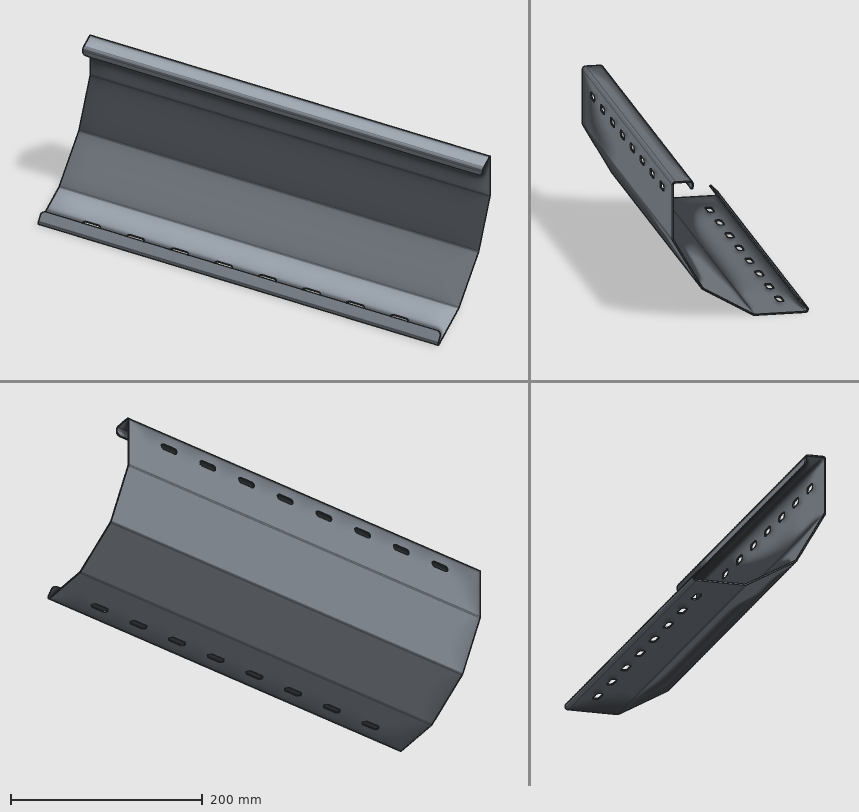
import cadquery as cq
import math

LENGTH = 450.0
HEIGHT = 150.0
THICKNESS = 1.5
BEND_RADIUS = 3.5

WALL_TURN = math.radians(30)
END_PANEL = 63.0
SLOPED_PANEL = (HEIGHT - END_PANEL) / (math.cos(WALL_TURN) + math.sin(WALL_TURN))
MIDDLE_BEND_OFFSET = SLOPED_PANEL * math.sin(WALL_TURN)

TOP_FLANGE = 22.5
TOP_LIP = 10.0
FRONT_LIP = 20.0
FRONT_LIP_ANGLE = math.radians(45)
LIP_CORNER_RADIUS = 5.0

SLOT_COUNT = 8
SLOT_PITCH = 49.5
SLOT_LENGTH = 20.0
SLOT_WIDTH = 7.0
BACK_SLOT_DROP = 19.0
FRONT_SLOT_INSET = 25.0
CUT_DEPTH = 5.0

TOP_LIP_END = (-TOP_FLANGE, HEIGHT - TOP_LIP)
FRONT_CORNER = (-HEIGHT, 0.0)
FRONT_LIP_END = (
    FRONT_CORNER[0] + FRONT_LIP * math.cos(FRONT_LIP_ANGLE),
    FRONT_LIP * math.sin(FRONT_LIP_ANGLE),
)
OUTER_CORNERS = [
    TOP_LIP_END,
    (-TOP_FLANGE, HEIGHT),
    (0.0, HEIGHT),
    (0.0, HEIGHT - END_PANEL),
    (-MIDDLE_BEND_OFFSET, MIDDLE_BEND_OFFSET),
    (-HEIGHT + END_PANEL, 0.0),
    FRONT_CORNER,
    FRONT_LIP_END,
]


def direction(start, end):
    """Unit vector from start to end."""
    span = math.dist(start, end)
    return ((end[0] - start[0]) / span, (end[1] - start[1]) / span)


def inward(heading):
    """Unit normal pointing from the outer surface into the sheet."""
    return (heading[1], -heading[0])


def shifted(point, vector, distance):
    return (point[0] + vector[0] * distance, point[1] + vector[1] * distance)


def bend_frame(before, corner, after):
    """Bend centre and the three unit directions to the arc's start, middle and end."""
    heading_in = direction(before, corner)
    heading_out = direction(corner, after)
    turn = math.acos(heading_in[0] * heading_out[0] + heading_in[1] * heading_out[1])
    tangent_length = BEND_RADIUS * math.tan(turn / 2)
    arc_start = shifted(corner, heading_in, -tangent_length)
    centre = shifted(arc_start, inward(heading_in), BEND_RADIUS)
    to_start = shifted((0, 0), inward(heading_in), -1)
    to_end = shifted((0, 0), inward(heading_out), -1)
    return centre, (to_start, direction(centre, corner), to_end)


def strip_profile():
    """Closed outline of the bent sheet: outer surface out, inner surface back."""
    bends = [bend_frame(*trio) for trio in zip(OUTER_CORNERS, OUTER_CORNERS[1:], OUTER_CORNERS[2:])]
    inner_radius = BEND_RADIUS - THICKNESS
    front_normal = inward(direction(FRONT_CORNER, FRONT_LIP_END))
    top_normal = inward(direction(*OUTER_CORNERS[:2]))

    profile = cq.Workplane("YZ", origin=(-LENGTH / 2, 0, 0)).moveTo(*TOP_LIP_END)
    for centre, arms in bends:
        start, middle, end = [shifted(centre, arm, BEND_RADIUS) for arm in arms]
        profile = profile.lineTo(*start).threePointArc(middle, end)
    profile = profile.lineTo(*FRONT_LIP_END)
    profile = profile.lineTo(*shifted(FRONT_LIP_END, front_normal, THICKNESS))
    for centre, arms in reversed(bends):
        end, middle, start = [shifted(centre, arm, inner_radius) for arm in arms]
        profile = profile.lineTo(*start).threePointArc(middle, end)
    return profile.lineTo(*shifted(TOP_LIP_END, top_normal, THICKNESS)).close()


def round_lip_corners(body):
    """Round the free corners at both ends of the two lips."""
    reach = 2 * THICKNESS
    for y, z in (TOP_LIP_END, FRONT_LIP_END):
        for x in (-LENGTH / 2, LENGTH / 2):
            corner_box = cq.selectors.BoxSelector(
                (x - reach, y - reach, z - reach),
                (x + reach, y + reach, z + reach),
            )
            body = body.edges(corner_box).fillet(LIP_CORNER_RADIUS)
    return body


def slot_row(plane, origin):
    """A row of slot cutters along X, centred on the origin of the given plane."""
    return (
        cq.Workplane(plane, origin=origin)
        .rarray(SLOT_PITCH, 1, SLOT_COUNT, 1)
        .slot2D(SLOT_LENGTH, SLOT_WIDTH)
        .extrude(CUT_DEPTH, both=True)
    )


trough = round_lip_corners(strip_profile().extrude(LENGTH))
back_slots = slot_row("XZ", (0, 0, HEIGHT - BACK_SLOT_DROP))
floor_slots = slot_row("XY", (0, FRONT_CORNER[0] + FRONT_SLOT_INSET, 0))

result = trough.cut(back_slots).cut(floor_slots)